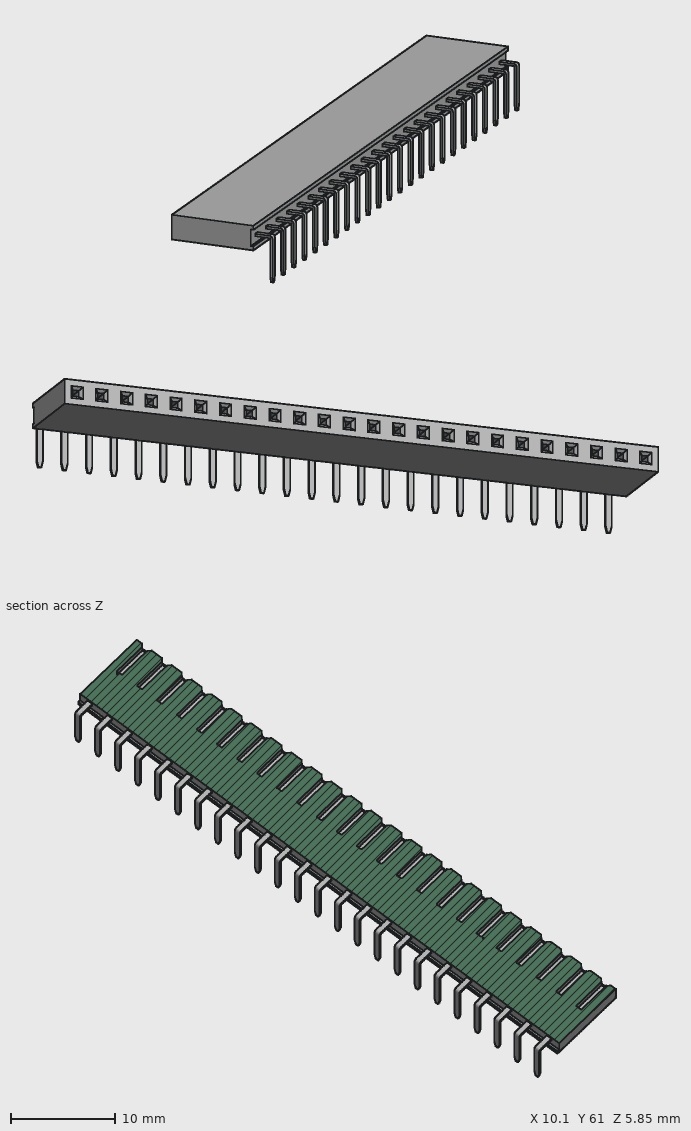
import cadquery as cq


contact_count = 24
row_length = 60.95
overall_depth = 10.1
overall_height = 5.85

body_depth = 8.55
body_height = 2.5
rear_lip_height = 0.4
rear_recess_depth = 0.25

socket_mouth = 1.2
socket_bore = 0.6
funnel_depth = 0.3
bore_depth = 3.65

tail_width = 0.6
tail_thickness = 0.25
bend_outer_radius = 0.3
tip_width = 0.3
tip_length = 0.6
tail_embedment = 0.6

pitch = row_length / contact_count
rear_face_x = body_depth - rear_recess_depth
tail_bottom_z = body_height / 2 - overall_height
contact_positions = [(i - (contact_count - 1) / 2) * pitch for i in range(contact_count)]


def make_body():
    """Rectangular bar with a shallow channel along the rear face."""
    bar = cq.Workplane("XY").box(body_depth, row_length, body_height, centered=(False, True, True))
    channel = (
        cq.Workplane("XY")
        .box(rear_recess_depth, row_length, body_height - 2 * rear_lip_height, centered=(False, True, True))
        .translate((rear_face_x, 0, 0))
    )
    return bar.cut(channel)


def make_socket(y):
    """Cutter for one socket: a square lead-in funnel followed by a blind square bore."""
    mouth = cq.Workplane("YZ").center(y, 0).rect(socket_mouth, socket_mouth)
    funnel = mouth.workplane(offset=funnel_depth).rect(socket_bore, socket_bore).loft(ruled=True)
    bore = (
        cq.Workplane("YZ", origin=(funnel_depth, y, 0))
        .rect(socket_bore, socket_bore)
        .extrude(bore_depth)
    )
    return funnel.union(bore)


def make_tail(y):
    """Flat strip leaving the rear face, bent down and narrowed at its tip."""
    strip = (
        cq.Workplane("XZ", origin=(0, y + tail_width / 2, 0))
        .moveTo(rear_face_x - tail_embedment, tail_thickness / 2)
        .lineTo(overall_depth, tail_thickness / 2)
        .lineTo(overall_depth, tail_bottom_z)
        .lineTo(overall_depth - tail_thickness, tail_bottom_z)
        .lineTo(overall_depth - tail_thickness, -tail_thickness / 2)
        .lineTo(rear_face_x - tail_embedment, -tail_thickness / 2)
        .close()
        .extrude(tail_width)
    )
    outer_corner = cq.selectors.NearestToPointSelector((overall_depth, y, tail_thickness / 2))
    inner_corner = cq.selectors.NearestToPointSelector(
        (overall_depth - tail_thickness, y, -tail_thickness / 2)
    )
    strip = strip.edges("|Y").edges(outer_corner).fillet(bend_outer_radius)
    strip = strip.edges("|Y").edges(inner_corner).fillet(bend_outer_radius - tail_thickness)
    pointed_outline = (
        cq.Workplane("YZ", origin=(0, y, 0))
        .moveTo(-tail_width / 2, tail_thickness / 2)
        .lineTo(tail_width / 2, tail_thickness / 2)
        .lineTo(tail_width / 2, tail_bottom_z + tip_length)
        .lineTo(tip_width / 2, tail_bottom_z)
        .lineTo(-tip_width / 2, tail_bottom_z)
        .lineTo(-tail_width / 2, tail_bottom_z + tip_length)
        .close()
        .extrude(overall_depth)
    )
    return strip.intersect(pointed_outline)


result = make_body()
for contact_y in contact_positions:
    result = result.cut(make_socket(contact_y)).union(make_tail(contact_y))